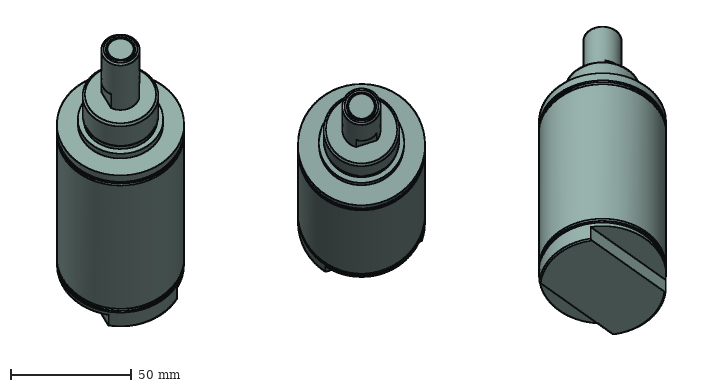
import cadquery as cq

total_height = 159.8
rear_flat_top = 8.1
rear_narrow_groove_bottom = 10.4
rear_groove_ridge = 11.5
tube_bottom = 13.0
tube_top = 99.9
front_groove_ridge = 101.3
flange_bottom = 102.4
flange_top = 107.0
shoulder_top = 110.4
neck_waist = 111.8
collar_bottom = 113.3
collar_top = 127.8
rod_flat_top = 137.4

body_radius = 52.9 / 2
shoulder_radius = 35.5 / 2
collar_radius = 31.5 / 2
neck_base_radius = 15.3
neck_waist_radius = 15.0
rod_radius = 16.0 / 2
rod_bore_radius = 6.0
rod_core_radius = 5.5

rear_flats_width = 31.5
rod_flats_width = 13.1
rear_chamfer = 0.6
collar_chamfer = 1.0
rod_chamfer_width = 1.0
rod_chamfer_height = 0.6
tube_groove_depth = 0.6
narrow_groove_depth = 0.5


def revolve_profile(points):
    """Revolve a closed (radius, height) outline about the Z axis."""
    return cq.Workplane("XZ").polyline(points).close().revolve(360, (0, 0), (0, 1))


def cut_parallel_flats(body, width, bottom, top):
    """Cut two flats facing -Y and +Y, leaving the given width between them."""
    side_depth = body_radius
    for side in (-1, 1):
        cutter = (
            cq.Workplane("XY")
            .box(2 * body_radius, side_depth, top - bottom, centered=(True, True, False))
            .translate((0, side * (width + side_depth) / 2, bottom))
        )
        body = body.cut(cutter)
    return body


def v_groove(bottom, top, depth):
    """Ring with a triangular section that cuts a groove into the outer wall."""
    return revolve_profile([
        (body_radius, bottom),
        (body_radius - depth, (bottom + top) / 2),
        (body_radius, top),
    ])


def make_housing():
    """Cylinder barrel with its end caps, mounting shoulder and collar."""
    housing = revolve_profile([
        (0, 0),
        (body_radius - rear_chamfer, 0),
        (body_radius, rear_chamfer),
        (body_radius, flange_top),
        (shoulder_radius, flange_top),
        (shoulder_radius, shoulder_top),
        (neck_base_radius, shoulder_top),
        (neck_waist_radius, neck_waist),
        (collar_radius, collar_bottom),
        (collar_radius, collar_top - collar_chamfer),
        (collar_radius - collar_chamfer, collar_top),
        (0, collar_top),
    ])
    grooves = (
        (rear_narrow_groove_bottom, rear_groove_ridge, narrow_groove_depth),
        (rear_groove_ridge, tube_bottom, tube_groove_depth),
        (tube_top, front_groove_ridge, tube_groove_depth),
        (front_groove_ridge, flange_bottom, narrow_groove_depth),
    )
    for bottom, top, depth in grooves:
        housing = housing.cut(v_groove(bottom, top, depth))
    return cut_parallel_flats(housing, rear_flats_width, 0, rear_flat_top)


def make_rod():
    """Rod standing on the collar, with wrench flats and an annular notch in its end."""
    notch_bottom = total_height - (rod_bore_radius - rod_core_radius)
    rod = revolve_profile([
        (0, collar_top),
        (rod_radius, collar_top),
        (rod_radius, total_height - rod_chamfer_height),
        (rod_radius - rod_chamfer_width, total_height),
        (rod_bore_radius, total_height),
        (rod_bore_radius, notch_bottom),
        (rod_core_radius, total_height),
        (0, total_height),
    ])
    return cut_parallel_flats(rod, rod_flats_width, collar_top, rod_flat_top)


housing = make_housing()
rod = make_rod()
result = cq.Compound.makeCompound([housing.solids().val(), rod.solids().val()])